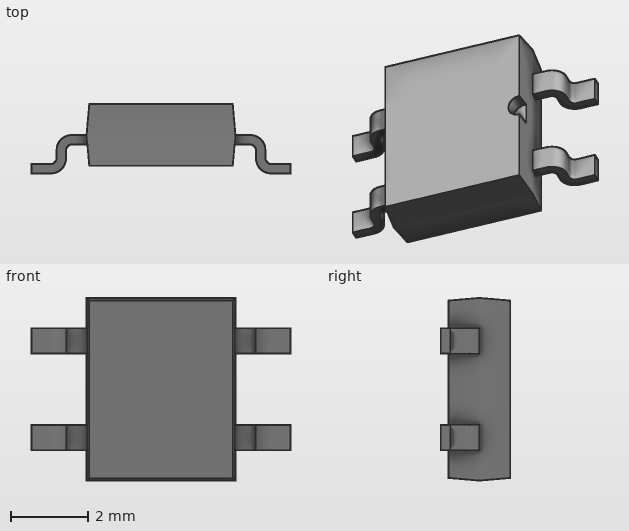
import cadquery as cq
import math


housing_width = 3.85
housing_height = 4.724
half_depth = 0.8
draft_angle = 5.0

notch_radius = 0.3
notch_depth = 0.4
notch_center_x = half_depth * math.tan(math.radians(draft_angle)) - housing_width / 2

lead_span = 6.7
lead_drop = 1.0
lead_thickness = 0.25
lead_width = 0.66
lead_pitch = 2.5
foot_flat = 0.5
inner_radius = 0.15
outer_radius = inner_radius + lead_thickness


def housing_half(direction):
    """Drafted half of the housing, from the parting plane toward +Y (1) or -Y (-1)."""
    plane = cq.Plane(origin=(0, 0, 0), xDir=(1, 0, 0), normal=(0, direction, 0))
    return (
        cq.Workplane(plane)
        .rect(housing_width, housing_height)
        .extrude(half_depth, taper=draft_angle)
    )


def make_housing():
    """Both drafted halves as one solid, with the round notch cut in the -X side."""
    notch_plane = cq.Plane(
        origin=(notch_center_x, half_depth, 0), xDir=(1, 0, 0), normal=(0, -1, 0)
    )
    notch = cq.Workplane(notch_plane).circle(notch_radius).extrude(notch_depth)
    return housing_half(1).union(housing_half(-1)).cut(notch).solids()


def make_lead(side, center_z):
    """Gull-wing lead on the +X (1) or -X (-1) side, ending flush on the drafted housing side."""
    root_x = housing_width / 2
    root_inner_x = root_x - lead_thickness * math.tan(math.radians(draft_angle))
    tip_x = lead_span / 2
    foot_bend_x = tip_x - foot_flat
    upright_outer_x = foot_bend_x - inner_radius
    upright_inner_x = upright_outer_x - lead_thickness
    shoulder_bend_x = upright_outer_x - outer_radius
    foot_top_y = lead_thickness - lead_drop

    inner_mid = inner_radius * math.sqrt(0.5)
    outer_mid = outer_radius * math.sqrt(0.5)
    shoulder_center_y = -outer_radius
    foot_center_y = foot_top_y + inner_radius

    def at(x, y):
        return (side * x, y)

    profile_plane = cq.Workplane("XY", origin=(0, 0, center_z - lead_width / 2))
    return (
        profile_plane
        .moveTo(*at(root_x, 0))
        .lineTo(*at(shoulder_bend_x, 0))
        .threePointArc(
            at(shoulder_bend_x + outer_mid, shoulder_center_y + outer_mid),
            at(upright_outer_x, shoulder_center_y),
        )
        .lineTo(*at(upright_outer_x, foot_center_y))
        .threePointArc(
            at(foot_bend_x - inner_mid, foot_center_y - inner_mid),
            at(foot_bend_x, foot_top_y),
        )
        .lineTo(*at(tip_x, foot_top_y))
        .lineTo(*at(tip_x, -lead_drop))
        .lineTo(*at(foot_bend_x, -lead_drop))
        .threePointArc(
            at(foot_bend_x - outer_mid, foot_center_y - outer_mid),
            at(upright_inner_x, foot_center_y),
        )
        .lineTo(*at(upright_inner_x, shoulder_center_y))
        .threePointArc(
            at(shoulder_bend_x + inner_mid, shoulder_center_y + inner_mid),
            at(shoulder_bend_x, -lead_thickness),
        )
        .lineTo(*at(root_inner_x, -lead_thickness))
        .close()
        .extrude(lead_width)
    )


housing = make_housing()

leads = []
for side in (-1, 1):
    for center_z in (-lead_pitch / 2, lead_pitch / 2):
        leads.append(make_lead(side, center_z))

result = cq.Compound.makeCompound([housing.val(), *[lead.val() for lead in leads]])